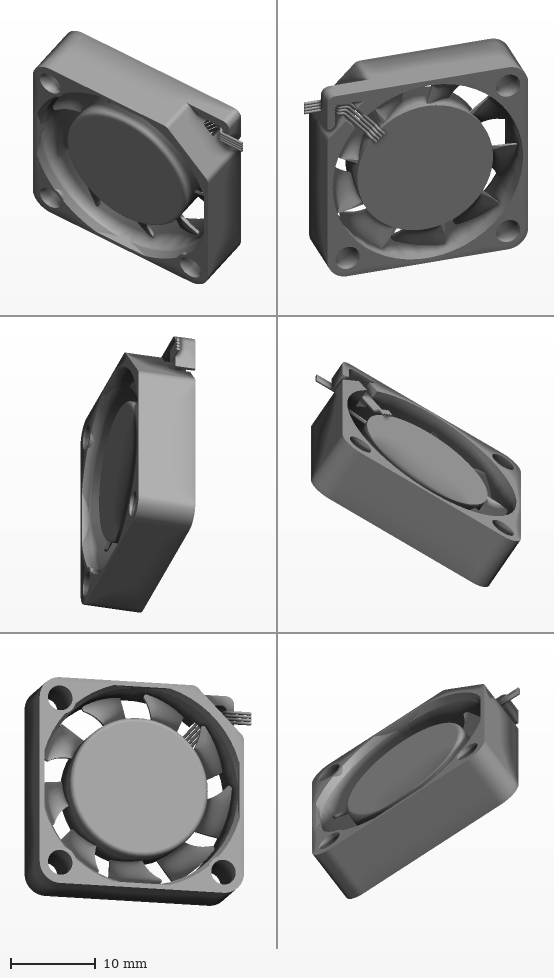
import cadquery as cq
import math


SIDE = 25.0
HALF = SIDE / 2
OVERALL_X = 27
DEPTH = 7.0
CORNER_R = 2.5
SMALL_CORNER_R = 1.0
CUT_CORNER_SUM = 19.1
HOLE_OFFSET = 10.0
HOLE_D = 3.0
HOLE_WALL_R = 1.97

FLARE_R = 12.42
FLARE_DEPTH = 0.9
THROAT_R = 11.95
REAR_BORE_R = 11.85
BORE_FLATS = 23.87

HOOK_START = 4.5
HOOK_DEPTH = DEPTH - HOOK_START
HOOK_ROOT_X = 5.95
HOOK_ROOT_Z = 11.18
HOOK_TOP_Z = 11.35
HOOK_INNER_X = 11.58
HOOK_INNER_R = 0.65
HOOK_TIP_Z = 8.05
HOOK_TIP_BEVEL = 0.43

HUB_R = 8.45
HUB_FRONT = 1.0
HUB_REAR = 6.0
HUB_EDGE_R = 0.5
BLADE_COUNT = 9
BLADE_PITCH = 360 / BLADE_COUNT
BLADE_TIP_R = 11.7
BLADE_OVERLAP = 0.27
BLADE_ROOT_R = HUB_R - BLADE_OVERLAP
BLADE_FRONT = 2.15
BLADE_REAR = 5.5
BLADE_WIDTH = 0.8
BLADE_REAR_ANGLE = 53.0
BLADE_FRONT_ANGLE = 89.0
LEAD_ROOT_ANGLE = 75.5
LEAD_MIDDLE = (10.05, 80.4)
LEAD_TIP_ANGLE = 88.7
TRAIL_ROOT_ANGLE = 52.0
TRAIL_TIP_ANGLE = 56.5
BLADE_TIP_ROUND = 0.35

WIRE_COUNT = 4
WIRE_D = 0.38
WIRE_PITCH = 0.4
WIRE_END_X = OVERALL_X - HALF
WIRE_TOP_Z = 10.48
WIRE_BEND_R = 0.32
WIRE_CORNER_R = 0.8
OUTER_Y = 4.3
CHANNEL_Y = 5.8
INNER_Y = 6.37
STEP_OUTER_X = 11.4
STEP_INNER_X = 10.7
SLANT_ANGLE = 48.7
SLANT_CORNER_X = 9.35
SLANT_CORNER_PITCH = 0.25
SLANT_LENGTH = 4.78
SLANT_SHORTENING = 0.14
DIVE_LENGTH = 0.55
INNER_LENGTH = 0.8

CHANNEL_WIDTH = 2.0
CHANNEL_LENGTH = 4.32


def plane_at(y):
    """Sketch plane at depth y, facing the front."""
    return cq.Workplane("XZ", origin=(0, y, 0))


def polar(radius, angle):
    turn = math.radians(angle)
    return (radius * math.cos(turn), radius * math.sin(turn))


def round_corner(body, x, z, radius):
    """Fillet the edge along Y that lies nearest to (x, z)."""
    box = body.val().BoundingBox()
    middle = (box.ymin + box.ymax) / 2
    nearest = cq.selectors.NearestToPointSelector((x, middle, z))
    return body.edges("|Y").edges(nearest).fillet(radius)


def housing_block():
    """Square block without the corner at +X, +Z."""
    cut_end = CUT_CORNER_SUM - HALF
    corners = [
        (-HALF, -HALF, CORNER_R),
        (HALF, -HALF, CORNER_R),
        (HALF, cut_end, SMALL_CORNER_R),
        (cut_end, HALF, SMALL_CORNER_R),
        (-HALF, HALF, CORNER_R),
    ]
    outline = [(x, z) for x, z, radius in corners]
    block = plane_at(0).polyline(outline).close().extrude(-DEPTH)
    for x, z, radius in corners:
        block = round_corner(block, x, z, radius)
    return block


def hook():
    """Thin wall behind the cut corner, open below its tip for the wires."""
    tip_x = HOOK_INNER_X + HOOK_TIP_BEVEL
    outline = [
        (HOOK_ROOT_X, HALF),
        (HALF, HALF),
        (HALF, HOOK_TIP_Z),
        (tip_x, HOOK_TIP_Z),
        (HOOK_INNER_X, HOOK_TIP_Z + HOOK_TIP_BEVEL),
        (HOOK_INNER_X, HOOK_TOP_Z),
        (HOOK_ROOT_X, HOOK_ROOT_Z),
    ]
    body = plane_at(HOOK_START).polyline(outline).close().extrude(-HOOK_DEPTH)
    body = round_corner(body, HALF, HALF, SMALL_CORNER_R)
    return round_corner(body, HOOK_INNER_X, HOOK_TOP_Z, HOOK_INNER_R)


def screw_cylinders(diameter):
    """Cylinders through the housing at the three corners that have screw holes."""
    centres = [(-HOLE_OFFSET, -HOLE_OFFSET), (-HOLE_OFFSET, HOLE_OFFSET), (HOLE_OFFSET, -HOLE_OFFSET)]
    return plane_at(0).pushPoints(centres).circle(diameter / 2).extrude(-DEPTH)


def bore():
    """Shape of the air passage, to be cut from the housing."""
    half_section = [(0, 0), (FLARE_R, 0), (THROAT_R, FLARE_DEPTH), (REAR_BORE_R, DEPTH), (0, DEPTH)]
    round_bore = cq.Workplane("XY").polyline(half_section).close().revolve(360, (0, 0), (0, 1))
    flats = plane_at(0).rect(BORE_FLATS, BORE_FLATS).extrude(-DEPTH)
    return round_bore.intersect(flats).cut(screw_cylinders(2 * HOLE_WALL_R))


def wire_corner(index):
    """Point where a wire turns from the straight outer run to the slanted run."""
    x = SLANT_CORNER_X + index * SLANT_CORNER_PITCH
    return cq.Vector(x, CHANNEL_Y, WIRE_TOP_Z - index * WIRE_PITCH)


def slant_direction():
    """Unit vector along the slanted wires, toward the hub."""
    x, z = polar(1, SLANT_ANGLE)
    return cq.Vector(-x, 0, -z)


def wire_channel():
    middle_wire = (WIRE_COUNT - 1) / 2
    corner = wire_corner(middle_wire)
    channel = (
        cq.Workplane("XY")
        .box(CHANNEL_LENGTH, HOOK_DEPTH, CHANNEL_WIDTH, centered=(False, False, True))
        .rotate((0, 0, 0), (0, 1, 0), 180 - SLANT_ANGLE)
    )
    return channel.translate((corner.x, HOOK_START, corner.z))


def make_housing():
    body = housing_block().cut(wire_channel()).union(hook())
    return body.cut(bore()).cut(screw_cylinders(HOLE_D))


def make_blade():
    """One blade: a radial bar twisted about the axis, trimmed to the blade outline."""
    start = BLADE_ROOT_R / 2
    end = BLADE_TIP_R + BLADE_WIDTH
    length = BLADE_REAR - BLADE_FRONT
    bar_corners = [
        (start, -BLADE_WIDTH / 2),
        (end, -BLADE_WIDTH / 2),
        (end, BLADE_WIDTH / 2),
        (start, BLADE_WIDTH / 2),
    ]
    bar = plane_at(BLADE_REAR).polyline(bar_corners).close()
    bar = bar.twistExtrude(length, BLADE_FRONT_ANGLE - BLADE_REAR_ANGLE)
    bar = bar.rotate((0, 0, 0), (0, -1, 0), BLADE_REAR_ANGLE)
    tip_middle_angle = (LEAD_TIP_ANGLE + TRAIL_TIP_ANGLE) / 2
    trim = (
        plane_at(BLADE_REAR)
        .moveTo(*polar(BLADE_ROOT_R, TRAIL_ROOT_ANGLE))
        .lineTo(*polar(BLADE_TIP_R, TRAIL_TIP_ANGLE))
        .threePointArc(polar(BLADE_TIP_R, tip_middle_angle), polar(BLADE_TIP_R, LEAD_TIP_ANGLE))
        .threePointArc(polar(*LEAD_MIDDLE), polar(BLADE_ROOT_R, LEAD_ROOT_ANGLE))
        .close()
        .extrude(length)
    )
    trim = round_corner(trim, *polar(BLADE_TIP_R, LEAD_TIP_ANGLE), BLADE_TIP_ROUND)
    return bar.intersect(trim)


def make_impeller():
    body = plane_at(HUB_FRONT).circle(HUB_R).extrude(HUB_FRONT - HUB_REAR)
    body = body.faces("<Y").edges().fillet(HUB_EDGE_R)
    blade = make_blade()
    for index in range(BLADE_COUNT):
        body = body.union(blade.rotate((0, 0, 0), (0, 1, 0), index * BLADE_PITCH))
    return body


def rounded_path(points, radii):
    """Polyline whose inner corners are replaced by tangent arcs."""
    edges = []
    start = points[0]
    for before, corner, after, radius in zip(points, points[1:], points[2:], radii):
        back = (before - corner).normalized()
        ahead = (after - corner).normalized()
        half_angle = back.getAngle(ahead) / 2
        setback = radius / math.tan(half_angle)
        arc_start = corner + back * setback
        arc_end = corner + ahead * setback
        to_middle = radius / math.sin(half_angle) - radius
        arc_middle = corner + (back + ahead).normalized() * to_middle
        edges.append(cq.Edge.makeLine(start, arc_start))
        edges.append(cq.Edge.makeThreePointArc(arc_start, arc_middle, arc_end))
        start = arc_end
    edges.append(cq.Edge.makeLine(start, points[-1]))
    return cq.Wire.assembleEdges(edges)


def make_wire(index):
    corner = wire_corner(index)
    slant = slant_direction()
    step_back = cq.Vector(0, INNER_Y - CHANNEL_Y, 0)
    slant_end = corner + slant * (SLANT_LENGTH - index * SLANT_SHORTENING)
    dive_end = slant_end + slant * DIVE_LENGTH + step_back
    points = [
        cq.Vector(WIRE_END_X, OUTER_Y, corner.z),
        cq.Vector(STEP_OUTER_X, OUTER_Y, corner.z),
        cq.Vector(STEP_INNER_X, CHANNEL_Y, corner.z),
        corner,
        slant_end,
        dive_end,
        dive_end + slant * INNER_LENGTH,
    ]
    path = rounded_path(points, [WIRE_BEND_R, WIRE_BEND_R, WIRE_CORNER_R, WIRE_BEND_R, WIRE_BEND_R])
    section = cq.Workplane("YZ", origin=points[0].toTuple()).circle(WIRE_D / 2)
    return section.sweep(cq.Workplane(path))


housing = make_housing()
impeller = make_impeller()
wires = [make_wire(index) for index in range(WIRE_COUNT)]

result = cq.Compound.makeCompound([housing.val(), impeller.val(), *[wire.val() for wire in wires]])